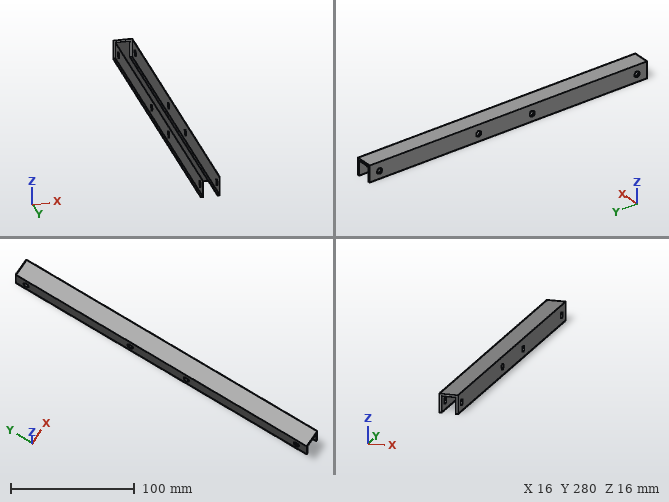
import cadquery as cq

length = 280.0
width = 16.0
height = 16.0
wall = 2.0

hole_diameter = 5.0
hole_height = 7.3
end_margin = 10.0
inner_hole_offsets = (110.0, 164.0)


def channel():
    """U-section with its closed side on top."""
    block = cq.Workplane("XY").box(width, length, height, centered=(True, True, False))
    cavity = cq.Workplane("XY").box(
        width - 2 * wall, length, height - wall, centered=(True, True, False)
    )
    return block.cut(cavity)


def cross_holes():
    """Pins along X that pass through both side walls."""
    offsets = (end_margin, *inner_hole_offsets, length - end_margin)
    centers = [(length / 2 - offset, hole_height) for offset in offsets]
    return (
        cq.Workplane("YZ")
        .pushPoints(centers)
        .circle(hole_diameter / 2)
        .extrude(width / 2, both=True)
    )


result = channel().cut(cross_holes())